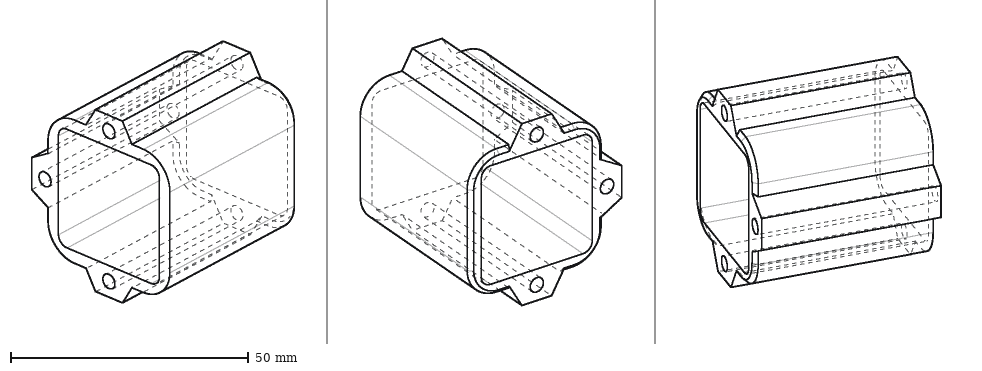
import cadquery as cq
import math

length = 40.55
overall_height = 43.6
lug_height = 4.6
body_size = overall_height - 2 * lug_height
body_corner_radius = 7.5
wall = 2.95
bore_size = body_size - 2 * wall
bore_corner_radius = 2.35
end_chamfer = 1.0

lug_tip_width = 7.65
lug_flank_angle = 30.0
hole_diameter = 3.4
hole_offset = 18.0
lug_angles = (0, 90, 180)


def section_plane():
    """XZ plane at the +Y end; extruding runs towards -Y."""
    return cq.Workplane("XZ", origin=(0, length / 2, 0))


def square_bar(size, corner_radius):
    return section_plane().rect(size, size).extrude(length).edges("|Y").fillet(corner_radius)


def turned(shape, angle):
    """Turn about the tube axis, from the top towards the -X side."""
    return shape.rotate((0, 0, 0), (0, -1, 0), angle)


def lug():
    """Trapezoidal rib on the top side, with flanks running on down to the bore wall."""
    root = bore_size / 2
    tip = overall_height / 2
    tip_half = lug_tip_width / 2
    root_half = tip_half + (tip - root) * math.tan(math.radians(lug_flank_angle))
    outline = [(-root_half, root), (-tip_half, tip), (tip_half, tip), (root_half, root)]
    return section_plane().polyline(outline).close().extrude(length)


def lug_hole():
    return section_plane().center(0, hole_offset).circle(hole_diameter / 2).extrude(length)


result = square_bar(body_size, body_corner_radius).faces(">Y").chamfer(end_chamfer)
result = result.cut(square_bar(bore_size, bore_corner_radius))

for angle in lug_angles:
    result = result.union(turned(lug(), angle))
    result = result.cut(turned(lug_hole(), angle))